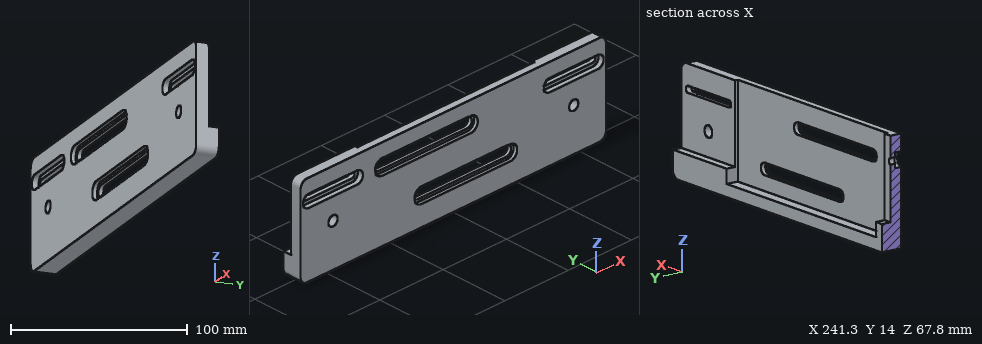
import cadquery as cq

length = 241.3
height = 67.8
plate_thickness = 8.0
total_depth = 14.0
ledge_height = 17.0
corner_radius = 5.0

relief_length = 140.0
relief_depth = 2.0
relief_bottom = 8.0

long_slot_centers = [(-21.2, 51.6), (10.0, 21.0)]
long_slot_travel = 70.0
long_slot_width = 7.2
long_recess_width = 11.0
long_recess_depth = 3.0

end_feature_x = 95.0
end_slot_z = 52.5
end_slot_travel = 38.1
end_slot_width = 4.0
end_recess_width = 9.2
end_recess_depth = 4.0
hole_diameter = 7.2
hole_z = 32.0


def block(width, bottom, top, front, back):
    """Box centred on X, given by its Z and Y limits."""
    return cq.Workplane("XY").box(
        width, back - front, top - bottom, centered=(True, False, False)
    ).translate((0, front, bottom))


def slot(center, travel, width, depth):
    """Round-ended cutter going into the plate from the front face."""
    return (
        cq.Workplane("XZ")
        .center(*center)
        .slot2D(travel + width, width)
        .extrude(-depth)
    )


def stepped_slot(center, travel, width, recess_width, recess_depth):
    """Through slot with a wider concentric recess at the front."""
    through = slot(center, travel, width, total_depth)
    recess = slot(center, travel, recess_width, recess_depth)
    return through.union(recess)


body = block(length, 0, height, 0, total_depth).edges("|Y").fillet(corner_radius)
body = body.cut(block(length, ledge_height, height, plate_thickness, total_depth))

relief_floor = plate_thickness - relief_depth
body = body.cut(block(relief_length, relief_bottom, height, relief_floor, total_depth))

for slot_center in long_slot_centers:
    body = body.cut(
        stepped_slot(
            slot_center, long_slot_travel, long_slot_width, long_recess_width, long_recess_depth
        )
    )

for x in (-end_feature_x, end_feature_x):
    body = body.cut(
        stepped_slot(
            (x, end_slot_z), end_slot_travel, end_slot_width, end_recess_width, end_recess_depth
        )
    )
    hole = cq.Workplane("XZ").center(x, hole_z).circle(hole_diameter / 2).extrude(-total_depth)
    body = body.cut(hole)

result = body